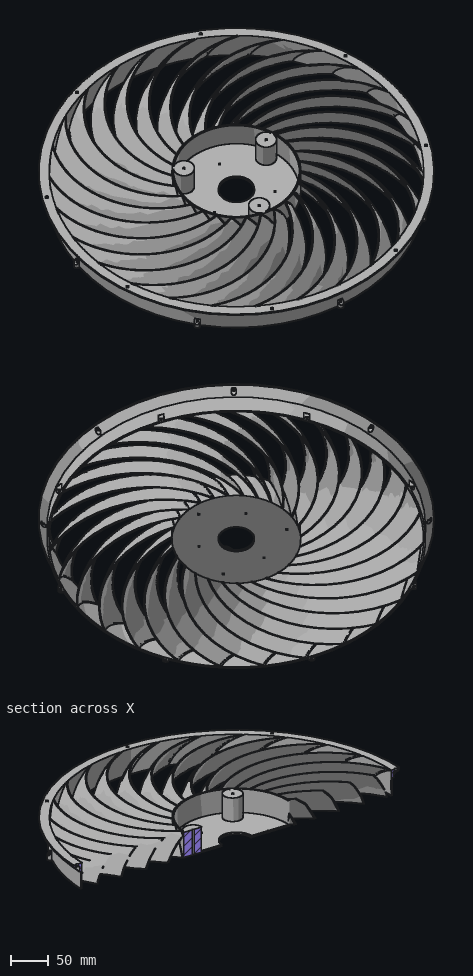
import cadquery as cq
import math

outer_radius = 263.0
height = 38.0

rim_wall_radius = 503.5 / 2
rim_wall_thickness = 2.5
rim_inner_radius = rim_wall_radius - rim_wall_thickness
flange_lip = 2.0
cone_top = height - flange_lip
cone_bottom = cone_top - (outer_radius - rim_wall_radius)

flange_hole_count = 8
flange_hole_circle_radius = 256.5
flange_hole_diameter = 3.4
flange_bore_diameter = 7.0
flange_bore_top = 33.5

lug_count = 8
lug_first_angle = 180.0 / lug_count
lug_centre_radius = 253.5
lug_diameter = 8.0
lug_hole_diameter = 2.0
lug_height = 11.5

hub_radius = 171.5 / 2
hub_wall_thickness = 2.0
hub_floor_thickness = 3.0
hub_bore_diameter = 48.0
post_count = 3
post_first_angle = 90.0
post_circle_radius = 70.0
post_diameter = 28.0
post_hole_diameter = 2.7
floor_hole_count = 3
floor_hole_first_angle = 30.0
floor_hole_circle_radius = 51.5
floor_hole_diameter = 2.0

blade_count = 27
blade_thickness = 1.5
upper_arc_distance = 128.5
upper_arc_angle = -74.1
upper_arc_radius = 141.5
lower_arc_distance = 131.0
lower_arc_angle = -78.2
lower_arc_radius = 169.5
blade_mid_lean = 0.65

blade_overrun = 5.0
blade_start_radius = hub_radius - blade_overrun
blade_end_radius = rim_wall_radius + blade_overrun
trim_inner_radius = hub_radius - hub_wall_thickness / 2
trim_outer_radius = rim_wall_radius - rim_wall_thickness / 2


def polar_points(radius, count, first_angle):
    angles = [math.radians(first_angle + i * 360.0 / count) for i in range(count)]
    return [(radius * math.cos(a), radius * math.sin(a)) for a in angles]


def cylinders(points, diameter, bottom, top):
    return (
        cq.Workplane("XY")
        .workplane(offset=bottom)
        .pushPoints(points)
        .circle(diameter / 2)
        .extrude(top - bottom)
    )


def make_rim():
    profile = [
        (rim_inner_radius, 0),
        (rim_wall_radius, 0),
        (rim_wall_radius, cone_bottom),
        (outer_radius, cone_top),
        (outer_radius, height),
        (rim_inner_radius, height),
    ]
    return cq.Workplane("XZ").polyline(profile).close().revolve(360, (0, 0), (0, 1))


def cut_flange_holes(rim):
    centres = polar_points(flange_hole_circle_radius, flange_hole_count, 0)
    rim = rim.cut(cylinders(centres, flange_hole_diameter, 0, height))
    return rim.cut(cylinders(centres, flange_bore_diameter, 0, flange_bore_top))


def make_lug():
    """One lug on the +X side: upright pin sunk into the rim wall, with a 45 degree top and a hole."""
    root = rim_wall_radius - rim_wall_thickness / 2
    nose = lug_centre_radius + lug_diameter / 2
    slope_drop = nose - rim_wall_radius
    pin = cylinders([(lug_centre_radius, 0)], lug_diameter, 0, lug_height)
    side_profile = [
        (root, 0),
        (nose, 0),
        (nose, lug_height - slope_drop),
        (rim_wall_radius, lug_height),
        (root, lug_height),
    ]
    side = cq.Workplane("XZ").polyline(side_profile).close().extrude(lug_diameter / 2, both=True)
    hole = cylinders([(lug_centre_radius, 0)], lug_hole_diameter, 0, lug_height)
    return pin.intersect(side).cut(hole)


def make_hub():
    cup = cylinders([(0, 0)], 2 * hub_radius, 0, height)
    cavity_diameter = 2 * (hub_radius - hub_wall_thickness)
    cup = cup.cut(cylinders([(0, 0)], cavity_diameter, hub_floor_thickness, height))
    posts = polar_points(post_circle_radius, post_count, post_first_angle)
    floor_holes = polar_points(floor_hole_circle_radius, floor_hole_count, floor_hole_first_angle)
    return (
        cup.union(cylinders(posts, post_diameter, 0, height))
        .cut(cylinders(posts, post_hole_diameter, 0, height))
        .cut(cylinders(floor_holes, floor_hole_diameter, 0, hub_floor_thickness))
        .cut(cylinders([(0, 0)], hub_bore_diameter, 0, hub_floor_thickness))
    )


def arc_point(centre_distance, centre_angle, arc_radius, axis_radius, z):
    """Point of an arc, on its counter-clockwise side, at a given distance from the part axis."""
    cosine = (axis_radius**2 + centre_distance**2 - arc_radius**2) / (2 * axis_radius * centre_distance)
    angle = math.radians(centre_angle) + math.acos(cosine)
    return cq.Vector(axis_radius * math.cos(angle), axis_radius * math.sin(angle), z)


def blade_section(lean, z):
    """Closed crescent strip from hub to rim; lean is 0 on the upper arc and 1 on the lower arc."""
    centre_distance = upper_arc_distance + lean * (lower_arc_distance - upper_arc_distance)
    centre_angle = upper_arc_angle + lean * (lower_arc_angle - upper_arc_angle)
    inner_arc_radius = upper_arc_radius + lean * (lower_arc_radius - blade_thickness - upper_arc_radius)
    middle_radius = (blade_start_radius + blade_end_radius) / 2
    inner_arc, outer_arc = [
        [
            arc_point(centre_distance, centre_angle, arc_radius, axis_radius, z)
            for axis_radius in (blade_start_radius, middle_radius, blade_end_radius)
        ]
        for arc_radius in (inner_arc_radius, inner_arc_radius + blade_thickness)
    ]
    return cq.Wire.assembleEdges([
        cq.Edge.makeThreePointArc(*inner_arc),
        cq.Edge.makeLine(inner_arc[2], outer_arc[2]),
        cq.Edge.makeThreePointArc(*reversed(outer_arc)),
        cq.Edge.makeLine(outer_arc[0], inner_arc[0]),
    ])


def make_blade():
    sections = [
        blade_section(1, 0),
        blade_section(blade_mid_lean, height / 2),
        blade_section(0, height),
    ]
    raw_blade = cq.Workplane(cq.Solid.makeLoft(sections))
    trim_ring = (
        cq.Workplane("XY").circle(trim_outer_radius).circle(trim_inner_radius).extrude(height)
    )
    return raw_blade.intersect(trim_ring)


def copies_about_axis(shape, count, first_angle):
    return [
        shape.rotate((0, 0, 0), (0, 0, 1), first_angle + i * 360.0 / count).val()
        for i in range(count)
    ]


rim = cut_flange_holes(make_rim())
lugs = copies_about_axis(make_lug(), lug_count, lug_first_angle)
blades = copies_about_axis(make_blade(), blade_count, 0)
body = rim.val().fuse(make_hub().val(), *lugs, *blades)
result = cq.Workplane(body.Solids()[0])